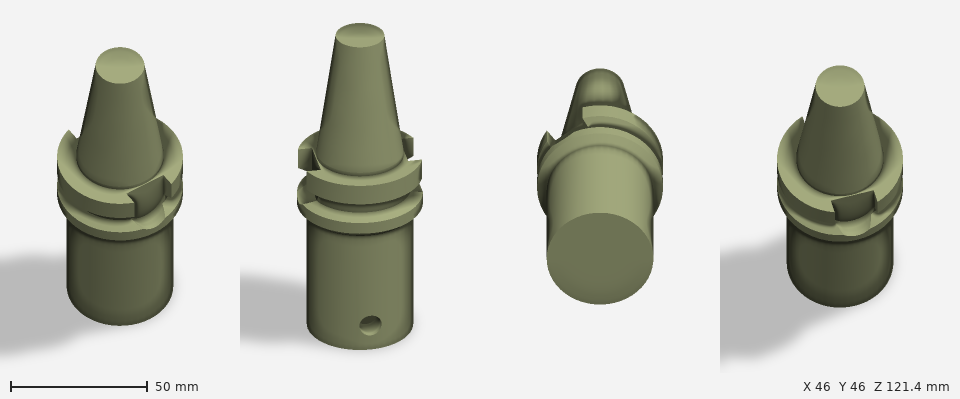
import cadquery as cq

total_length = 121.4
flange_top = 71.1
flange_diameter = 46.0
nose_diameter = 39.0

taper_small_diameter = 17.8
taper_large_diameter = 31.9
shank_collar_height = 1.5

groove_diameter = 37.8
upper_rim_depth = 7.8
groove_floor_start = 10.1
groove_floor_end = 13.6
lower_rim_start = 15.7
lower_rim_end = 20.2
flange_depth = 23.1

slot_width = 16.3
slot_depth = 17.2
slot_floor_x = 16.3

screw_hole_diameter = 8.3
screw_hole_height = 10.1
screw_hole_depth = 8.5


def make_body():
    """Revolve the nose, grooved flange and tapered shank as one profile."""
    nose_radius = nose_diameter / 2
    flange_radius = flange_diameter / 2
    groove_radius = groove_diameter / 2
    taper_large_radius = taper_large_diameter / 2
    profile = [
        (0, 0),
        (nose_radius, 0),
        (nose_radius, flange_top - flange_depth),
        (flange_radius, flange_top - lower_rim_end),
        (flange_radius, flange_top - lower_rim_start),
        (groove_radius, flange_top - groove_floor_end),
        (groove_radius, flange_top - groove_floor_start),
        (flange_radius, flange_top - upper_rim_depth),
        (flange_radius, flange_top),
        (taper_large_radius, flange_top),
        (taper_large_radius, flange_top + shank_collar_height),
        (taper_small_diameter / 2, total_length),
        (0, total_length),
    ]
    return cq.Workplane("XZ").polyline(profile).close().revolve(360, (0, 0), (0, 1))


def make_drive_slot():
    """Round-bottomed slot cutter, open at the flange top and the +X side."""
    half_width = slot_width / 2
    slot_bottom = flange_top - slot_depth
    arc_center_height = slot_bottom + half_width
    return (
        cq.Workplane("YZ", origin=(slot_floor_x, 0, 0))
        .moveTo(-half_width, flange_top)
        .lineTo(-half_width, arc_center_height)
        .threePointArc((0, slot_bottom), (half_width, arc_center_height))
        .lineTo(half_width, flange_top)
        .close()
        .extrude(flange_diameter / 2)
    )


def make_screw_hole():
    """Blind radial hole cutter, open at the +Y side of the nose."""
    hole_floor_y = nose_diameter / 2 - screw_hole_depth
    return (
        cq.Workplane("XZ", origin=(0, hole_floor_y, screw_hole_height))
        .circle(screw_hole_diameter / 2)
        .extrude(-nose_diameter / 2)
    )


result = make_body()
for slot_angle in (0, 180):
    result = result.cut(make_drive_slot().rotate((0, 0, 0), (0, 0, 1), slot_angle))
result = result.cut(make_screw_hole())